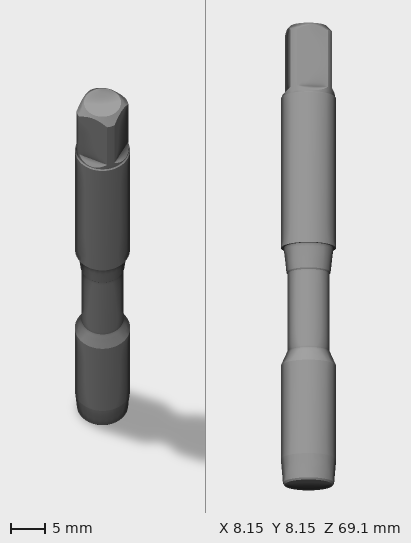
import cadquery as cq

total_length = 69.1

head_diameter = 8.15
tip_face_diameter = 7.1
lead_start_diameter = 7.5
tip_chamfer_height = 0.3
lead_top_z = 3.9
head_taper_z = 18.0
head_top_z = 19.4

neck_diameter = 6.2
neck_flare_z = 20.1
collar_bottom_z = 32.05
collar_chamfer_height = 0.2
collar_bottom_diameter = 6.5
shank_bottom_z = 35.7
collar_top_diameter = 7.3
shank_diameter = 8.1
shank_top_z = 58.3

drive_diameter = 7.75
drive_width = 6.2
drive_length = 9.7
drive_face_diameter = 5.45

taper_slope = (head_diameter - neck_diameter) / (neck_flare_z - head_taper_z)
head_top_diameter = neck_diameter + taper_slope * (neck_flare_z - head_top_z)
drive_bottom_z = total_length - drive_length
drive_chamfer = (drive_diameter - drive_face_diameter) / 2
shank_chamfer = (shank_diameter - drive_diameter) / 2


def turned(stations):
    """Revolve a solid about Z from (diameter, z) stations, listed from bottom to top."""
    rim = [(diameter / 2, z) for diameter, z in stations]
    axis_bottom = (0, rim[0][1])
    axis_top = (0, rim[-1][1])
    profile = cq.Workplane("XZ").polyline([axis_bottom, *rim, axis_top]).close()
    return profile.revolve(360, (0, 0, 0), (0, 1, 0))


def make_threaded_head():
    return turned([
        (tip_face_diameter, 0),
        (lead_start_diameter, tip_chamfer_height),
        (head_diameter, lead_top_z),
        (head_diameter, head_taper_z),
        (head_top_diameter, head_top_z),
    ])


def drive_flat_cutter():
    """Remove the +X side of the drive down to a floor that slopes outward at 45 degrees."""
    flat_x = drive_width / 2
    reach = shank_diameter
    section = [
        (flat_x, drive_bottom_z),
        (flat_x + reach, drive_bottom_z - reach),
        (flat_x + reach, total_length),
        (flat_x, total_length),
    ]
    return cq.Workplane("XZ").polyline(section).close().extrude(shank_diameter, both=True)


def make_shank():
    shank = turned([
        (head_top_diameter, head_top_z),
        (neck_diameter, neck_flare_z),
        (neck_diameter, collar_bottom_z - collar_chamfer_height),
        (collar_bottom_diameter, collar_bottom_z),
        (collar_top_diameter, shank_bottom_z),
        (shank_diameter, shank_bottom_z),
        (shank_diameter, shank_top_z),
        (drive_diameter, shank_top_z + shank_chamfer),
        (drive_diameter, total_length - drive_chamfer),
        (drive_face_diameter, total_length),
    ])
    cutter = drive_flat_cutter()
    for side in range(4):
        shank = shank.cut(cutter.rotate((0, 0, 0), (0, 0, 1), side * 90))
    return shank


threaded_head = make_threaded_head()
shank = make_shank()

result = cq.Compound.makeCompound([threaded_head.val(), shank.val()])